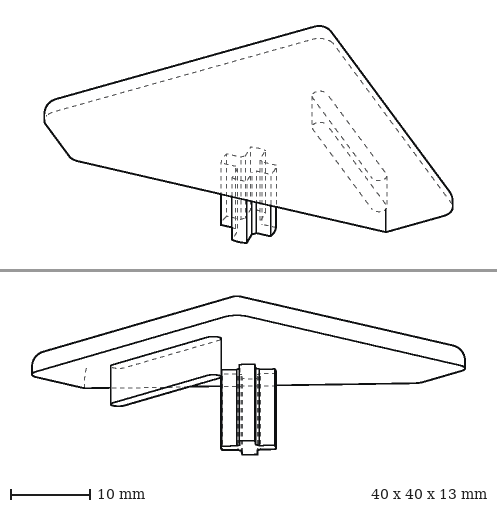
import cadquery as cq

side = 40.0
half_side = side / 2
short_edge = 10.0
plate_thickness = 3.0
edge_radius = 2.0

tab_length = 20.0
tab_thickness = 2.0
tab_depth = 5.0
tab_y = 14.0

peg_diameter = 7.0
peg_arm_width = 2.0
peg_depth = 10.0
core_diameter = peg_diameter / 2
arm_angles = (45, 135)


def make_plate():
    """Plate with rounded corners and top edge; the cut's +X corner stays sharp."""
    cut_end = -half_side + short_edge
    plate = (
        cq.Workplane("XY")
        .moveTo(-half_side, -half_side)
        .lineTo(cut_end, -half_side)
        .lineTo(half_side, -cut_end)
        .lineTo(half_side, half_side)
        .lineTo(-half_side, half_side)
        .close()
        .extrude(plate_thickness)
    )
    sharp_corner = cq.selectors.NearestToPointSelector((half_side, -cut_end, plate_thickness / 2))
    upright_edges = cq.selectors.ParallelDirSelector(cq.Vector(0, 0, 1))
    rounded_corners = cq.selectors.SubtractSelector(upright_edges, sharp_corner)
    return plate.edges(rounded_corners).fillet(edge_radius).faces(">Z").edges().fillet(edge_radius)


def make_tab():
    return cq.Workplane("XY").center(0, tab_y).slot2D(tab_length, tab_thickness).extrude(-tab_depth)


def make_peg():
    """Two crossed arms around a round core, with arm ends on the outer cylinder."""
    outer_cylinder = cq.Workplane("XY").circle(peg_diameter / 2).extrude(-peg_depth)
    peg = cq.Workplane("XY").circle(core_diameter / 2).extrude(-peg_depth)
    for angle in arm_angles:
        arm = (
            cq.Workplane("XY")
            .transformed(rotate=(0, 0, angle))
            .rect(2 * peg_diameter, peg_arm_width)
            .extrude(-peg_depth)
        )
        peg = peg.union(arm.intersect(outer_cylinder))
    return peg


result = make_plate().union(make_tab()).union(make_peg())